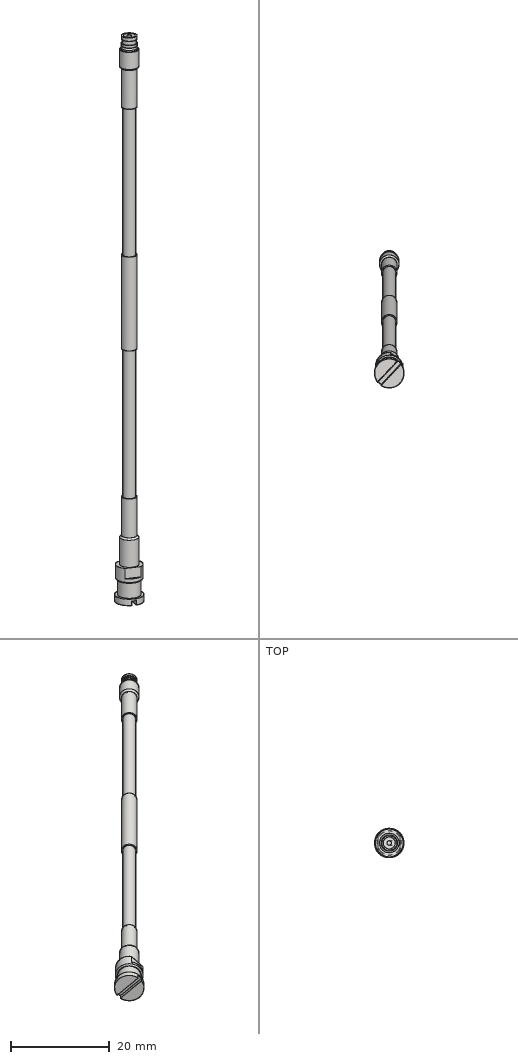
import cadquery as cq

total_length = 121.57

cable_diameter = 2.65
tube_diameter = 3.15
boot_length = 8.35
label_length = 20.2

boot_end_chamfer = 0.38

flange_diameter = 5.97
flange_height = 1.4
neck_diameter = 4.8
collar_bottom = 4.65
collar_diameter = 5.6
collar_chamfer = 0.3
collar_top = 7.9
flat_spacing = 4.45
flat_bottom = 5.7
ferrule_diameter = 3.95
lower_connector_length = 14.1
slot_width = 0.95
slot_depth = 1.0

upper_connector_length = 7.0
shoulder_diameter = 3.95
shoulder_height = 4.05
nose_diameter = 3.3
lip_diameter = 3.2
lip_depth = 0.75
groove_diameter = 2.9
groove_depth = 1.6
relief_depth = 2.2
relief_cone_depth = 2.65
insulator_diameter = 2.4
pin_diameter = 0.9

upper_connector_bottom = total_length - upper_connector_length
nose_bottom = upper_connector_bottom + shoulder_height
nose_length = total_length - nose_bottom
cable_length = upper_connector_bottom - lower_connector_length
cable_middle = lower_connector_length + cable_length / 2


def cylinder(diameter, bottom, height):
    return cq.Workplane("XY").workplane(offset=bottom).circle(diameter / 2).extrude(height)


def make_tube(bottom, length):
    """Sleeve that fits closely over the cable."""
    return cylinder(tube_diameter, bottom, length).cut(cylinder(cable_diameter, bottom, length))


def block(size_x, size_y, bottom, height):
    base = cq.Workplane("XY").workplane(offset=bottom)
    return base.rect(size_x, size_y).extrude(height)


def make_collar():
    """Round collar with two wrench flats facing -X and +X, open at the top."""
    collar = cylinder(collar_diameter, collar_bottom, collar_top - collar_bottom)
    collar = collar.faces("<Z").chamfer(collar_chamfer)
    flat_height = collar_top - flat_bottom
    between_flats = block(flat_spacing, collar_diameter, flat_bottom, flat_height)
    outside_flats = cylinder(collar_diameter, flat_bottom, flat_height).cut(between_flats)
    return collar.cut(outside_flats)


def make_lower_connector():
    """Flange with a slot along X, neck, collar and ferrule."""
    flange = cylinder(flange_diameter, 0, flange_height)
    neck = cylinder(neck_diameter, 0, collar_bottom)
    ferrule = cylinder(ferrule_diameter, collar_top, lower_connector_length - collar_top)
    ferrule = ferrule.faces(">Z").chamfer(boot_end_chamfer)
    slot = block(flange_diameter, slot_width, 0, slot_depth)
    return flange.union(neck).union(make_collar()).union(ferrule).cut(slot)


def make_upper_connector():
    """Shoulder and grooved nose, hollow above the shoulder for the insulator."""
    shoulder = cylinder(shoulder_diameter, upper_connector_bottom, shoulder_height)
    shoulder = shoulder.faces("<Z").chamfer(boot_end_chamfer)
    nose_radius = nose_diameter / 2
    lip_radius = lip_diameter / 2
    groove_radius = groove_diameter / 2
    nose = (
        cq.Workplane("XZ")
        .moveTo(0, nose_bottom)
        .lineTo(nose_radius, nose_bottom)
        .lineTo(nose_radius, total_length - relief_cone_depth)
        .lineTo(groove_radius, total_length - relief_depth)
        .lineTo(nose_radius, total_length - relief_depth)
        .lineTo(nose_radius, total_length - groove_depth)
        .lineTo(groove_radius, total_length - groove_depth)
        .lineTo(groove_radius, total_length - lip_depth)
        .lineTo(lip_radius, total_length - lip_depth)
        .lineTo(lip_radius, total_length)
        .lineTo(0, total_length)
        .close()
        .revolve(360, (0, 0, 0), (0, 1, 0))
    )
    seat = cylinder(insulator_diameter, nose_bottom, nose_length)
    return shoulder.union(nose).cut(seat)


cable = cylinder(cable_diameter, lower_connector_length, cable_length)
lower_boot = make_tube(lower_connector_length, boot_length)
label = make_tube(cable_middle - label_length / 2, label_length)
upper_boot = make_tube(upper_connector_bottom - boot_length, boot_length)
lower_connector = make_lower_connector()
upper_connector = make_upper_connector()
pin = cylinder(pin_diameter, nose_bottom, nose_length)
insulator = cylinder(insulator_diameter, nose_bottom, nose_length).cut(pin)

result = cq.Compound.makeCompound([
    cable.val(), lower_boot.val(), label.val(), upper_boot.val(),
    lower_connector.val(), upper_connector.val(), insulator.val(), pin.val(),
])